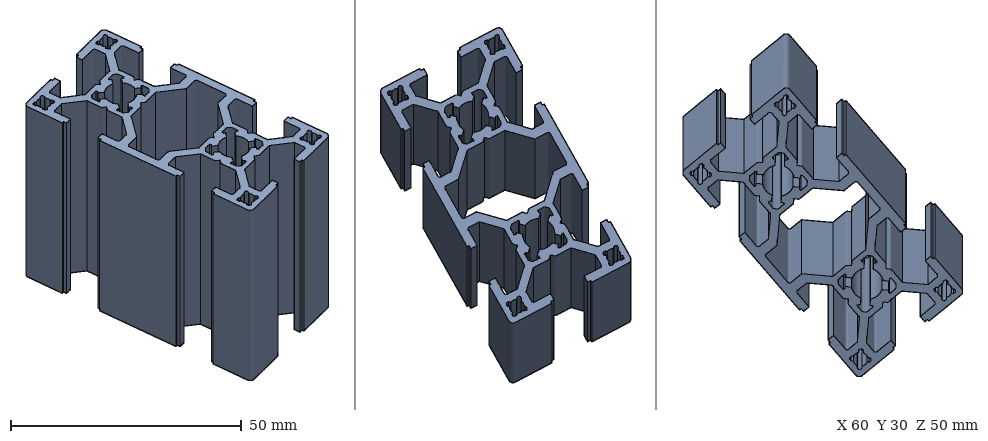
import cadquery as cq
import math

LENGTH = 60.0
CELL = LENGTH / 2
HALF_CELL = CELL / 2
HEIGHT = 50.0
OUTER_RADIUS = 1.0
INNER_RADIUS = 0.5

LIP_THICKNESS = 2.05
OPENING_HALF = 4.15
STEP_HALF = 4.9
STEP_DEPTH = 0.5
CHANNEL_HALF = 8.6
LIP_INNER = HALF_CELL - LIP_THICKNESS

CORE_HALF = 6.05
WEB_THICKNESS = 2.0
WEB_OFFSET = WEB_THICKNESS / math.sqrt(2)
NOTCH_SIZE = 0.8

CORE_WALL = 1.25
CORE_INNER = CORE_HALF - CORE_WALL
CORE_INNER_CHAMFER = 0.7
CORE_INNER_RADIUS = 0.6
BORE_RADIUS = 3.5
PAD_NECK_HALF = 2.35
PAD_TIP_HALF = 2.65
PAD_TIP_HEIGHT = 4.1
PAD_SHOULDER = PAD_TIP_HEIGHT + PAD_TIP_HALF - PAD_NECK_HALF

CHAMBER_HALF = 4.15

HOLE_CENTRE = 11.95
HOLE_RADIUS = 1.55
RELIEF_HALF = 1.75
RELIEF_RADIUS = 0.3
RELIEF_WIDTH = 1.0


def prism(points):
    return cq.Workplane("XY").polyline(points).close().extrude(HEIGHT)


def mirrored_prism(half_points):
    """Prism whose outline is the given half plus its mirror image across the Y axis."""
    mirror = [(-x, y) for x, y in reversed(half_points) if x != 0]
    return prism(half_points + mirror)


def cylinder(radius):
    return cq.Workplane("XY").circle(radius).extrude(HEIGHT)


def bar(width, depth):
    return cq.Workplane("XY").rect(width, depth).extrude(HEIGHT)


def turned(body, angle):
    return body.rotate((0, 0, 0), (0, 0, 1), angle)


def round_edges(body, points):
    """Round the upright edges that pass through the given points."""
    for x, y in points:
        body = body.edges(cq.selectors.NearestToPointSelector((x, y, HEIGHT / 2))).fillet(INNER_RADIUS)
    return body


def make_slot():
    """T-slot opening towards +Y, relative to the cell centre."""
    slot = mirrored_prism([
        (0, CORE_HALF - NOTCH_SIZE),
        (NOTCH_SIZE, CORE_HALF),
        (CORE_HALF - WEB_OFFSET, CORE_HALF),
        (CHANNEL_HALF, CHANNEL_HALF + WEB_OFFSET),
        (CHANNEL_HALF, LIP_INNER),
        (OPENING_HALF, LIP_INNER),
        (OPENING_HALF, HALF_CELL - STEP_DEPTH),
        (STEP_HALF, HALF_CELL - STEP_DEPTH),
        (STEP_HALF, HALF_CELL),
    ])
    corners = []
    for side in (-1, 1):
        corners.append((side * NOTCH_SIZE, CORE_HALF))
        corners.append((side * CHANNEL_HALF, LIP_INNER))
    return round_edges(slot, corners)


def make_chamber():
    """Hollow between the cores, with a V-groove in each core wall."""
    wall = HALF_CELL - CORE_HALF
    web_start = CORE_HALF - WEB_OFFSET
    web_end = HALF_CELL - CHAMBER_HALF - WEB_OFFSET
    chamber = bar(2 * CHAMBER_HALF, 2 * LIP_INNER).edges("|Z").fillet(INNER_RADIUS)
    belly = mirrored_prism([
        (CHAMBER_HALF, -web_end),
        (wall, -web_start),
        (wall, -NOTCH_SIZE),
        (wall + NOTCH_SIZE, 0),
        (wall, NOTCH_SIZE),
        (wall, web_start),
        (CHAMBER_HALF, web_end),
    ])
    rims = [(x, y) for x in (-wall, wall) for y in (-NOTCH_SIZE, NOTCH_SIZE)]
    return chamber.union(round_edges(belly, rims))


def make_core_opening():
    """Square opening with eased corners and four hooked pads reaching in to the bore."""
    opening = bar(2 * CORE_INNER, 2 * CORE_INNER).edges("|Z").chamfer(CORE_INNER_CHAMFER)
    opening = opening.edges("|Z").fillet(CORE_INNER_RADIUS)
    pad = mirrored_prism([
        (0, PAD_TIP_HEIGHT - PAD_TIP_HALF),
        (PAD_TIP_HALF, PAD_TIP_HEIGHT),
        (PAD_NECK_HALF, PAD_SHOULDER),
        (PAD_NECK_HALF, CORE_HALF),
    ]).cut(cylinder(BORE_RADIUS))
    for quarter in range(4):
        opening = opening.cut(turned(pad, 90 * quarter))
    return opening


def make_corner_hole():
    """Round hole with diagonal reliefs that end in rounded corners."""
    reach = 4 * RELIEF_HALF
    cross = turned(bar(reach, RELIEF_WIDTH), 45).union(turned(bar(reach, RELIEF_WIDTH), -45))
    limit = bar(2 * RELIEF_HALF, 2 * RELIEF_HALF).edges("|Z").fillet(RELIEF_RADIUS)
    reliefs = cross.intersect(limit)
    return cylinder(HOLE_RADIUS).union(reliefs)


body = bar(LENGTH, CELL).edges("|Z").fillet(OUTER_RADIUS)
result = body.cut(make_chamber())

slot = make_slot()
core_opening = make_core_opening()
corner_hole = make_corner_hole()

for side in (-1, 1):
    cell_x = side * HALF_CELL
    end_angle = -90 * side
    result = result.cut(core_opening.translate((cell_x, 0, 0)))
    for angle in (0, 180, end_angle):
        result = result.cut(turned(slot, angle).translate((cell_x, 0, 0)))
    for hole_y in (-HOLE_CENTRE, HOLE_CENTRE):
        result = result.cut(corner_hole.translate((cell_x + side * HOLE_CENTRE, hole_y, 0)))